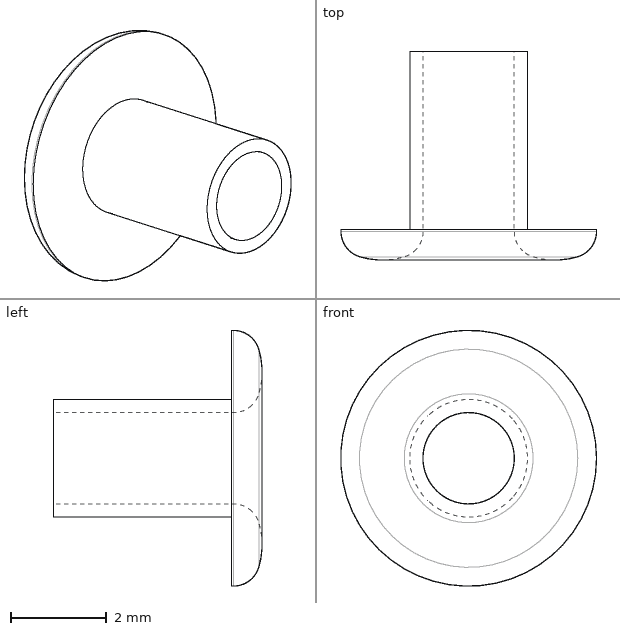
import math

import cadquery as cq

flange_radius = 2.68
total_length = 4.37
flange_thickness = 0.645
barrel_radius = 1.235
bore_radius = 0.955

crown_radius = 1.61
round_radius = 0.56

ring_middle = (flange_radius + bore_radius) / 2
ring_half_width = (flange_radius - bore_radius) / 2
round_offset = ring_half_width - round_radius

blend_angle = math.asin(round_offset / (crown_radius - round_radius))
blend_offset = crown_radius * math.sin(blend_angle)
blend_depth = crown_radius * (1 - math.cos(blend_angle))
round_depth = blend_depth + round_radius * math.cos(blend_angle)

mouth_start = (bore_radius, round_depth)
crown_start = (ring_middle - blend_offset, blend_depth)
crown_apex = (ring_middle, 0)
crown_end = (ring_middle + blend_offset, blend_depth)
edge_end = (flange_radius, round_depth)

profile = (
    cq.Workplane("XY")
    .moveTo(bore_radius, total_length)
    .lineTo(*mouth_start)
    .tangentArcPoint(crown_start, relative=False)
    .threePointArc(crown_apex, crown_end)
    .tangentArcPoint(edge_end, relative=False)
    .lineTo(flange_radius, flange_thickness)
    .lineTo(barrel_radius, flange_thickness)
    .lineTo(barrel_radius, total_length)
    .close()
)

result = profile.revolve(360, (0, 0, 0), (0, 1, 0))